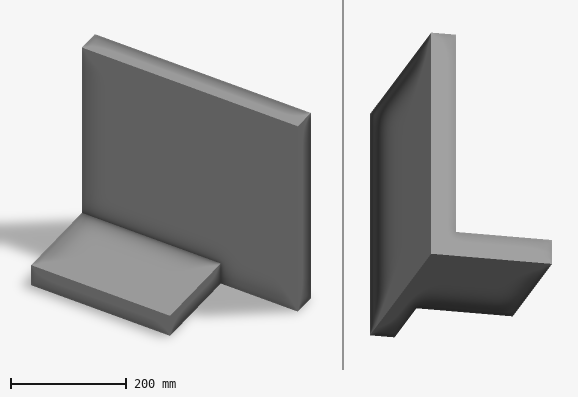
import cadquery as cq

plate_length = 435.0
plate_height = 406.3
thickness = 44.0
overall_depth = 215.8
foot_length = 279.5

plate = cq.Workplane("XY").box(plate_length, thickness, plate_height, centered=False)
plate = plate.translate((0, overall_depth - thickness, 0))

foot = cq.Workplane("XY").box(foot_length, overall_depth, thickness, centered=False)

result = plate.union(foot)